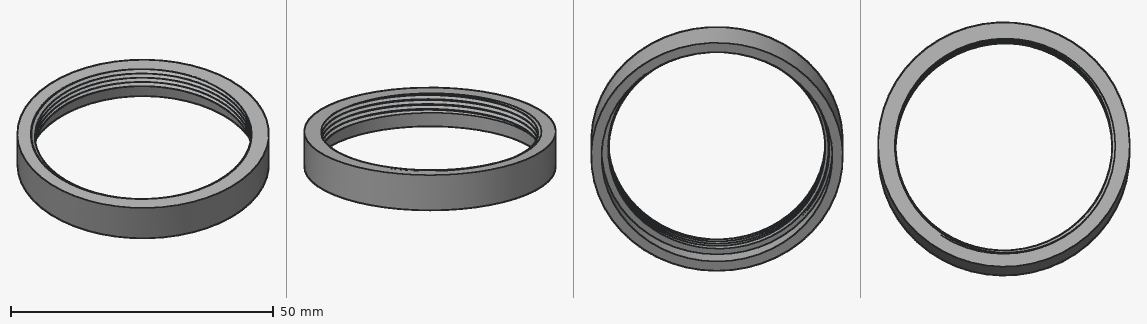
import cadquery as cq
import math

outer_diameter = 48.0
height = 7.2

relief_diameter = 44.0
thread_length = 4.0
relief_height = height - thread_length

minor_radius = 20.65
thread_turns = 4
pitch = thread_length / thread_turns
crest_flat = pitch / 16
flank_angle = 30.0
flank_slope = math.tan(math.radians(flank_angle))
groove_depth = (pitch - crest_flat) / 2 / flank_slope
groove_turns = thread_turns + 2
inner_overlap = 0.05

top_exit_turn = 0.75
groove_start = height - (thread_turns + top_exit_turn) * pitch


def make_ring():
    """Ring with the thread's minor bore and the wider bore below it."""
    ring = cq.Workplane("XY").circle(outer_diameter / 2).circle(minor_radius).extrude(height)
    relief = cq.Workplane("XY").circle(relief_diameter / 2).extrude(relief_height)
    return ring.cut(relief)


def make_groove_turn(turn_start):
    """Triangular cutter swept along one helix turn that starts on the +X side."""
    inner_radius = minor_radius - inner_overlap
    root_radius = minor_radius + groove_depth
    half_width = (root_radius - inner_radius) * flank_slope
    start_point = cq.Vector(0, 0, turn_start)
    helix = cq.Wire.makeHelix(pitch, pitch, minor_radius, center=start_point)
    return (
        cq.Workplane("XZ")
        .moveTo(inner_radius, turn_start - half_width)
        .lineTo(root_radius, turn_start)
        .lineTo(inner_radius, turn_start + half_width)
        .close()
        .sweep(cq.Workplane(helix), isFrenet=True)
    )


result = make_ring()
for turn in range(groove_turns):
    result = result.cut(make_groove_turn(groove_start + turn * pitch))